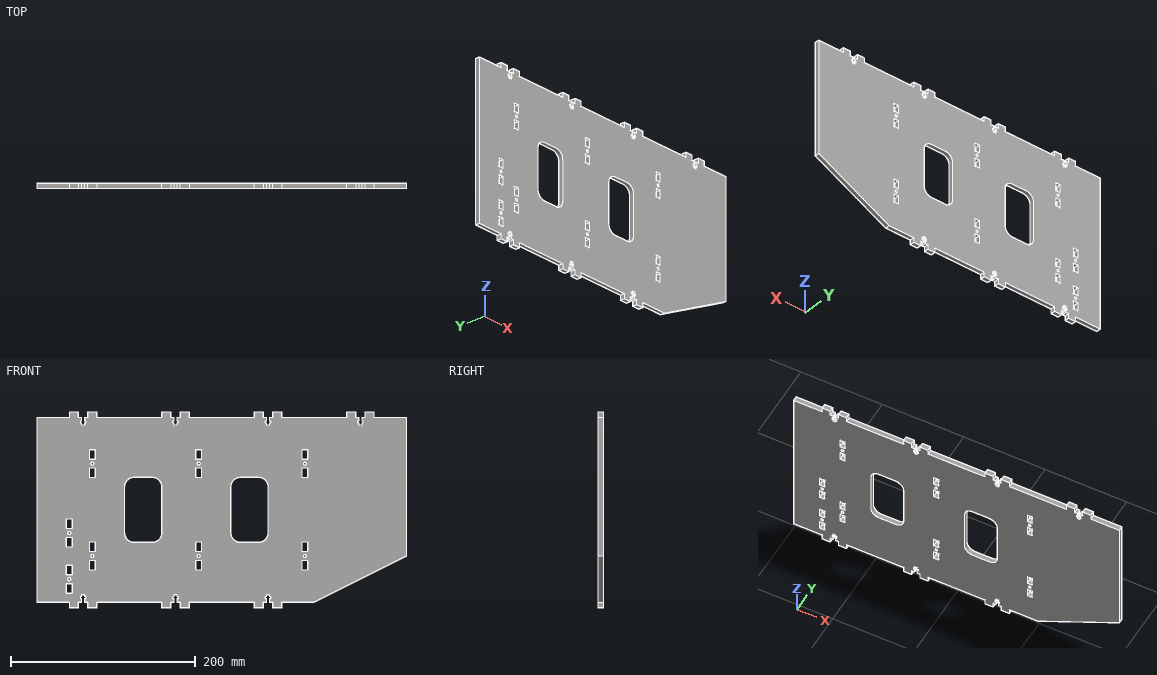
import cadquery as cq

LENGTH = 400.0
HEIGHT = 200.0
THICKNESS = 6.0
CORNER_CUT_LENGTH = 100.0
CORNER_CUT_HEIGHT = 50.0

TAB_WIDTH = 10.0
TAB_HEIGHT = THICKNESS
TAB_SPACING = 2 * TAB_WIDTH
SCREW_DIAMETER = 3.0

CHANNEL_DEPTH = 8.0
NUT_WIDTH = 5.5
NUT_THICKNESS = 2.0
NUT_DEPTH = 4.0

BAY_LENGTH = LENGTH / 4
TOP_JOINTS = [(bay + 0.5) * BAY_LENGTH for bay in range(4)]
BOTTOM_JOINTS = TOP_JOINTS[:-1]

FIRST_CROSS_X = 60.0
LAST_CROSS_X = 290.0
CROSS_PITCH = (LAST_CROSS_X - FIRST_CROSS_X) / 2
CROSS_COLUMNS = [FIRST_CROSS_X + i * CROSS_PITCH for i in range(3)]
CROSS_HEIGHTS = [HEIGHT / 4, HEIGHT * 3 / 4]
SIDE_SLOT_LEFT = 32.0
SIDE_COLUMN_X = SIDE_SLOT_LEFT + THICKNESS / 2
SIDE_HEIGHTS = [HEIGHT / 8, HEIGHT * 3 / 8]

WINDOW_WIDTH = 40.0
WINDOW_HEIGHT = 70.0
WINDOW_RADIUS = 10.0
WINDOW_CENTERS = [CROSS_PITCH, 2 * CROSS_PITCH]


def block(width, height, x, z):
    """Box through the full panel thickness, centred on (x, z)."""
    return cq.Workplane("XY").box(width, THICKNESS, height).translate((x, THICKNESS / 2, z))


def plate():
    """Rectangular panel with its lower right corner cut off."""
    outline = [
        (0, 0),
        (LENGTH - CORNER_CUT_LENGTH, 0),
        (LENGTH, CORNER_CUT_HEIGHT),
        (LENGTH, HEIGHT),
        (0, HEIGHT),
    ]
    return cq.Workplane("XZ").polyline(outline).close().extrude(-THICKNESS)


def add_edge_joint(body, x, edge_z, outward):
    """Add two tabs and a T-slot; outward is +1 on the top edge, -1 on the bottom edge."""
    for side in (-1, 1):
        tab_x = x + side * TAB_SPACING / 2
        body = body.union(block(TAB_WIDTH, TAB_HEIGHT, tab_x, edge_z + outward * TAB_HEIGHT / 2))
    channel = block(SCREW_DIAMETER, CHANNEL_DEPTH, x, edge_z - outward * CHANNEL_DEPTH / 2)
    nut_z = edge_z - outward * (NUT_DEPTH + NUT_THICKNESS / 2)
    return body.cut(channel).cut(block(NUT_WIDTH, NUT_THICKNESS, x, nut_z))


def cut_slot_group(body, x, z):
    """Cut two upright tab slots with a screw hole midway between them."""
    for side in (-1, 1):
        body = body.cut(block(THICKNESS, TAB_WIDTH, x, z + side * TAB_SPACING / 2))
    hole = cq.Workplane("XZ").center(x, z).circle(SCREW_DIAMETER / 2).extrude(-THICKNESS)
    return body.cut(hole)


def window(x):
    """Rounded window opening at mid height."""
    return block(WINDOW_WIDTH, WINDOW_HEIGHT, x, HEIGHT / 2).edges("|Y").fillet(WINDOW_RADIUS)


result = plate()
for joint_x in TOP_JOINTS:
    result = add_edge_joint(result, joint_x, HEIGHT, 1)
for joint_x in BOTTOM_JOINTS:
    result = add_edge_joint(result, joint_x, 0, -1)

for column_x in CROSS_COLUMNS:
    for group_z in CROSS_HEIGHTS:
        result = cut_slot_group(result, column_x, group_z)
for group_z in SIDE_HEIGHTS:
    result = cut_slot_group(result, SIDE_COLUMN_X, group_z)

for window_x in WINDOW_CENTERS:
    result = result.cut(window(window_x))